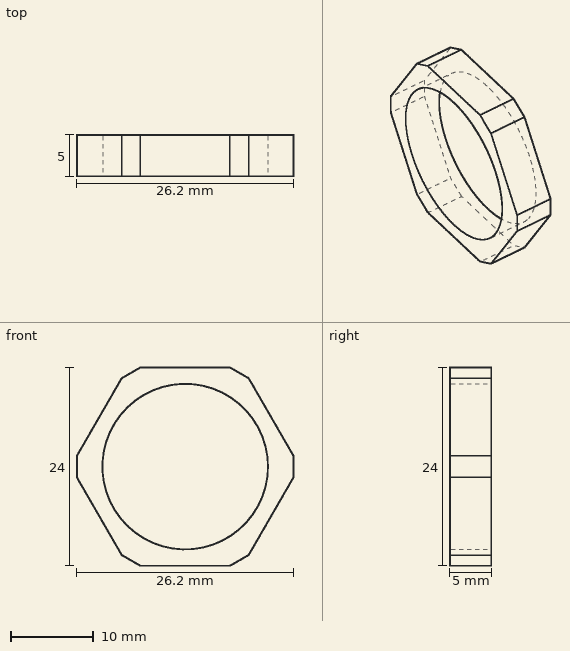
import cadquery as cq
import math

across_flats = 24.0
across_corners = 26.2
thickness = 5.0
bore_diameter = 20.0


def back_plane():
    """Plane of the +Y face; extruding from it runs toward -Y."""
    return cq.Workplane("XZ", origin=(0, thickness / 2, 0))


def hexagonal_prism(flat_distance):
    """Hexagonal prism centred on the Y axis, with two vertices on the X axis."""
    vertex_diameter = flat_distance / math.cos(math.radians(30))
    return back_plane().polygon(6, vertex_diameter).extrude(thickness)


nut_body = hexagonal_prism(across_flats)
corner_trim = hexagonal_prism(across_corners).rotate((0, 0, 0), (0, 1, 0), 30)
trimmed_body = nut_body.intersect(corner_trim)

bore = back_plane().circle(bore_diameter / 2).extrude(thickness)
result = trimmed_body.cut(bore)